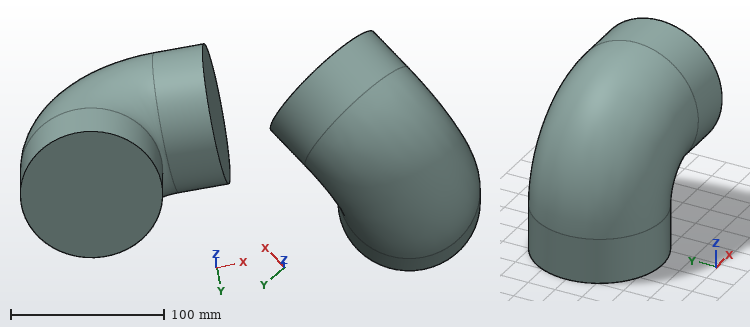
import cadquery as cq

overall_length = 129.5
outer_diameter = 93.0
collar_length = 33.2
bend_angle = 90.0

outer_radius = outer_diameter / 2
bend_radius = overall_length - collar_length - outer_radius

lower_collar = cq.Workplane("XY").circle(outer_radius).extrude(-collar_length)

bend = (
    cq.Workplane("XY")
    .circle(outer_radius)
    .revolve(bend_angle, (bend_radius, 0, 0), (bend_radius, 1, 0))
)

upper_collar = (
    cq.Workplane("YZ", origin=(bend_radius, 0, bend_radius))
    .circle(outer_radius)
    .extrude(collar_length)
)

result = lower_collar.union(bend).union(upper_collar)